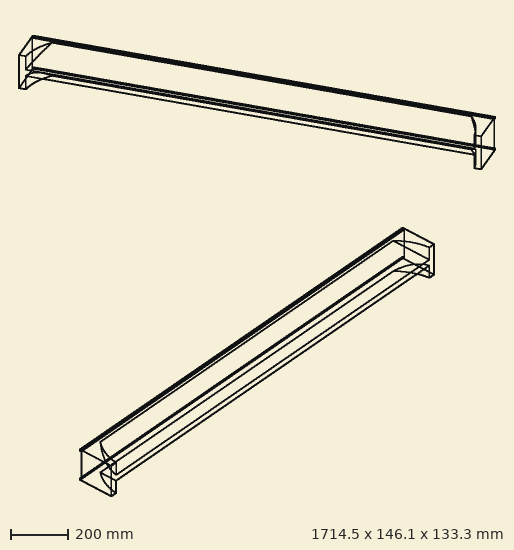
import math

import cadquery as cq

LENGTH = 1714.5
DEPTH = 146.05
HEIGHT = 133.35

LIP_DEPTH = 6.35
LIP_THICKNESS = 6.35
BODY_DEPTH = DEPTH - LIP_DEPTH

WEB_THICKNESS = 25.4
END_THICKNESS = 25.4
COVE_RISE = (HEIGHT - WEB_THICKNESS) / 2
COVE_DEPTH = 120.65
COVE_RADIUS = 215.9

CHORD_LENGTH = math.hypot(COVE_DEPTH, COVE_RISE)
COVE_BULGE = COVE_RADIUS - math.sqrt(COVE_RADIUS**2 - (CHORD_LENGTH / 2) ** 2)
COVE_ARC_MID_Y = COVE_DEPTH / 2 + COVE_BULGE * COVE_RISE / CHORD_LENGTH
COVE_ARC_MID_RISE = COVE_RISE / 2 - COVE_BULGE * COVE_DEPTH / CHORD_LENGTH


def make_body():
    """Full-depth block with the back recessed between the two lips."""
    block = cq.Workplane("XY").box(LENGTH, DEPTH, HEIGHT, centered=(True, False, True))
    recess = (
        cq.Workplane("XY")
        .box(LENGTH, LIP_DEPTH, HEIGHT - 2 * LIP_THICKNESS, centered=(True, False, True))
        .translate((0, BODY_DEPTH, 0))
    )
    return block.cut(recess)


def make_cove(side):
    """Pocket whose floor and end walls follow the same arc; side is +1 above the web, -1 below."""
    floor = side * WEB_THICKNESS / 2
    edge = side * HEIGHT / 2
    trough = (
        cq.Workplane("YZ")
        .moveTo(0, floor)
        .threePointArc((COVE_ARC_MID_Y, floor + side * COVE_ARC_MID_RISE), (COVE_DEPTH, edge))
        .lineTo(0, edge)
        .close()
        .extrude(LENGTH / 2, both=True)
    )
    half_front = LENGTH / 2 - END_THICKNESS
    half_mid = half_front - COVE_ARC_MID_RISE
    half_back = half_front - COVE_RISE
    plan = (
        cq.Workplane("XY")
        .moveTo(-half_front, 0)
        .lineTo(half_front, 0)
        .threePointArc((half_mid, COVE_ARC_MID_Y), (half_back, COVE_DEPTH))
        .lineTo(-half_back, COVE_DEPTH)
        .threePointArc((-half_mid, COVE_ARC_MID_Y), (-half_front, 0))
        .close()
        .extrude(HEIGHT / 2, both=True)
    )
    return trough.intersect(plan)


result = make_body()
for side in (1, -1):
    result = result.cut(make_cove(side))